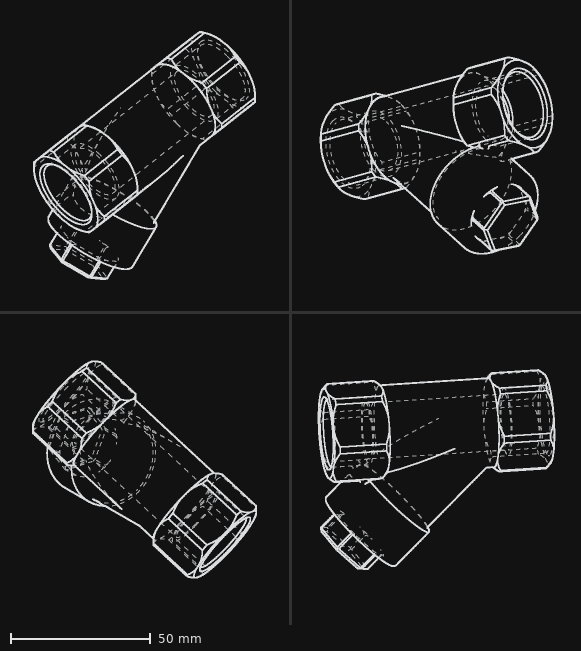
import cadquery as cq
import math

run_length = 79.9
run_far_end = 29.1
run_near_end = run_far_end - run_length
tube_diameter = 32.0

hex_length = 20.2
hex_across_flats = tube_diameter
hex_corner_diameter = 35.5
hex_chamfer = 1.6

through_diameter = 20.0
socket_diameter = 24.1
socket_mouth_diameter = 26.15
socket_depth = 14.75

branch_slope = math.radians(45)
collar_start = 37.1
collar_end = 54.9
collar_diameter = 35.0

plug_across_flats = 21.0
plug_corner_diameter = 23.8
plug_end = 63.7
plug_chamfer = 1.0
plug_foot_depth = 1.6
plug_foot_diameter = 31.15

fillet_radius = 1.0

hex_half_angle = math.radians(30)
tolerance = 0.01

branch_axis = cq.Vector(0, -math.cos(branch_slope), -math.sin(branch_slope))
far_hex_inner = run_far_end - hex_length
near_hex_inner = run_near_end + hex_length


def run_plane(y):
    """Workplane across the run at y, facing -Y."""
    return cq.Workplane(cq.Plane((0, y, 0), (1, 0, 0), (0, -1, 0)))


def branch_plane(distance):
    """Workplane across the branch, facing outward."""
    across = (0, math.sin(branch_slope), -math.cos(branch_slope))
    return cq.Workplane(cq.Plane(branch_axis * distance, across, branch_axis))


def cylinder(plane, diameter, length):
    return plane.circle(diameter / 2).extrude(length)


def hexagon(plane, across_flats, length):
    across_corners = across_flats / math.cos(hex_half_angle)
    return plane.polygon(6, across_corners).extrude(length)


def hex_prism(start_y, length):
    """Hexagonal bar with rounded corners, running toward -Y from start_y."""
    corners = cylinder(run_plane(start_y), hex_corner_diameter, length)
    return hexagon(run_plane(start_y), hex_across_flats, length).intersect(corners)


def hex_end(start_y):
    """Hexagonal end, chamfered at both faces by a turned envelope."""
    envelope = cylinder(run_plane(start_y), hex_corner_diameter, hex_length)
    envelope = envelope.edges("%CIRCLE").chamfer(hex_chamfer)
    return hex_prism(start_y, hex_length).intersect(envelope)


def branch():
    """Branch tube and collar turned in one piece, with a filleted step and a rounded rim."""
    tube_radius = tube_diameter / 2
    collar_radius = collar_diameter / 2
    to_mid_arc = fillet_radius * (1 - math.cos(math.radians(45)))
    downward = (0, math.sin(branch_slope), -math.cos(branch_slope))
    half_section = cq.Workplane(cq.Plane((0, 0, 0), downward, (-1, 0, 0)))
    half_section = (
        half_section
        .lineTo(tube_radius, 0)
        .lineTo(tube_radius, collar_start - fillet_radius)
        .threePointArc(
            (tube_radius + to_mid_arc, collar_start - to_mid_arc),
            (tube_radius + fillet_radius, collar_start),
        )
        .lineTo(collar_radius, collar_start)
        .lineTo(collar_radius, collar_end - fillet_radius)
        .threePointArc(
            (collar_radius - to_mid_arc, collar_end - to_mid_arc),
            (collar_radius - fillet_radius, collar_end),
        )
        .lineTo(0, collar_end)
        .close()
    )
    return half_section.revolve(360, (0, 0), (0, 1))


def run_and_branch():
    """Middle tube joined to the branch, with the open-angled crease between them filleted."""
    tube = cylinder(run_plane(far_hex_inner), tube_diameter, far_hex_inner - near_hex_inner)
    joined = tube.union(branch())
    crease = joined.edges("%ELLIPSE").filter(lambda edge: 0 < edge.Center().y < far_hex_inner)
    return crease.fillet(fillet_radius)


def collar_to_hex_fillet():
    """Fillet in the sharp-angled crease between the collar and the underside of the near hexagon.

    It is rounded on a longer collar and hexagon so that the crease runs on past both ends,
    then trimmed to the stretch where the real ones meet.
    """
    flat_half_width = hex_across_flats / 2 * math.tan(hex_half_angle)
    collar_overrun = 8.2
    trim_far = near_hex_inner - hex_chamfer
    trim_near = run_near_end + hex_chamfer
    long_collar_start = collar_start - collar_overrun
    long_collar = cylinder(branch_plane(long_collar_start), collar_diameter, collar_end - long_collar_start)
    blank = long_collar.union(hex_prism(0, -trim_near))

    def under_hex(edge):
        centre = edge.Center()
        on_crease = edge.geomType() in ("ELLIPSE", "BSPLINE")
        beside_flat = abs(centre.x) < flat_half_width and centre.z < 0
        return on_crease and beside_flat and trim_near < centre.y < trim_far

    rounded = blank.edges().filter(under_hex).fillet(fillet_radius)
    trim_length = collar_end - fillet_radius - collar_start
    collar_stretch = cylinder(branch_plane(collar_start), 2 * collar_diameter, trim_length)
    hex_stretch = cylinder(run_plane(trim_far), run_length, trim_far - trim_near)
    return rounded.intersect(collar_stretch).intersect(hex_stretch)


def plug():
    """Hexagonal plug with a chamfered end, a flared foot and turned corners."""
    head = hexagon(branch_plane(collar_end), plug_across_flats, plug_end - collar_end)
    head = head.faces(cq.selectors.DirectionMinMaxSelector(branch_axis)).chamfer(plug_chamfer)
    foot_start = collar_end - plug_foot_depth
    foot = cylinder(branch_plane(foot_start), plug_foot_diameter, plug_foot_depth)
    body = foot.union(head)

    def at_root(edge):
        return abs(edge.Center().dot(branch_axis) - collar_end) < tolerance

    flared = body.edges("%LINE").filter(at_root).fillet(fillet_radius)
    return flared.intersect(cylinder(branch_plane(foot_start), plug_corner_diameter, plug_end - foot_start))


def bores():
    """Through bore with a chamfered socket at each end."""
    mouth_depth = (socket_mouth_diameter - socket_diameter) / 2
    near_floor = run_near_end + socket_depth
    far_floor = run_far_end - socket_depth
    profile = (
        cq.Workplane("XY")
        .moveTo(0, run_near_end)
        .lineTo(socket_mouth_diameter / 2, run_near_end)
        .lineTo(socket_diameter / 2, run_near_end + mouth_depth)
        .lineTo(socket_diameter / 2, near_floor)
        .lineTo(through_diameter / 2, near_floor)
        .lineTo(through_diameter / 2, far_floor)
        .lineTo(socket_diameter / 2, far_floor)
        .lineTo(socket_diameter / 2, run_far_end - mouth_depth)
        .lineTo(socket_mouth_diameter / 2, run_far_end)
        .lineTo(0, run_far_end)
        .close()
    )
    return profile.revolve(360, (0, 0, 0), (0, 1, 0))


body = run_and_branch()
body = body.union(hex_end(run_far_end))
body = body.union(hex_end(near_hex_inner))
body = body.union(collar_to_hex_fillet())
result = body.union(plug()).cut(bores())